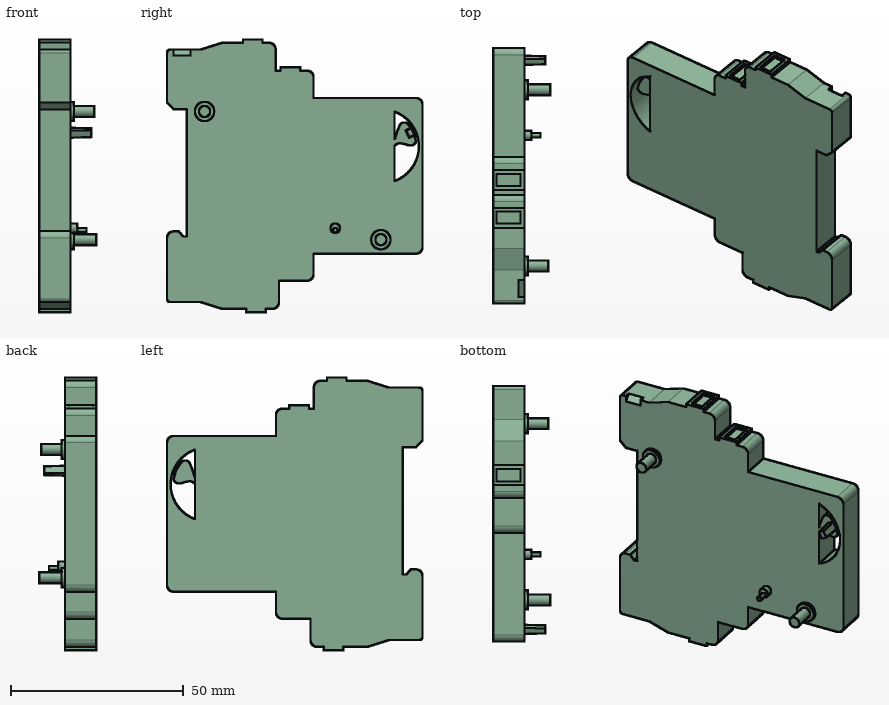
import cadquery as cq
import math

thickness = 9.1
depth = 74.0
height = 79.0

block_height = 0.95
deck_low, deck_high = block_height, height - block_height
end_inset = 2.9
end_low, end_high = end_inset, height - end_inset
shoulder_low, shoulder_high = 9.1, 70.0
nose_inset = 16.9
nose_low, nose_high = nose_inset, height - nose_inset
slope_start, slope_end = 15.95, 9.7
shoulder_y = 42.5
deck_y_low, deck_y_high = 32.5, 31.5
step_fillet = 2.0
end_fillet = 0.95

rail_depth = 5.7
rail_low, rail_high = 22.0, 58.8
rail_lip_height = 1.5
rail_lip_y = 4.75
rail_lip_chamfer_y = 3.4
rail_lip_radius = 2.0
rail_chamfer = 2.0

block_length = 5.8
block_y_shoulder, block_y_high, block_y_low = 32.9, 22.0, 22.9
block_overlap = 0.8
pocket_x, pocket_width = 0.95, 6.95
pocket_margin_y, pocket_length = 1.2, 3.55
pocket_depth = 0.8

opening_radius = 10.7
opening_y, opening_z = 62.25, 48.0
opening_chord_y = 66.0
lever_radius = 9.95
lever_recess = 2.4
lever_overlap = 0.8
lever_tip_angle, lever_crest_angle = 7.0, 39.0
lever_root_low, lever_root_high = 48.2, 50.2
lever_belly = [(67.9, 48.9), (70.3, 48.3)]
lever_crown, lever_crown_end = (68.9, 55.0), (67.4, 54.2)
lever_back = (66.7, 52.45)

tab_y, tab_z = 70.5, 52.0
tab_width, tab_height, tab_length = 1.9, 2.4, 6.0
tab_tilt = 25.0
tab_draft = 1.2

pin_flange_diameter, pin_flange_length = 5.6, 0.95
pin_diameter = 3.2
long_pin_y, long_pin_z, long_pin_length = 61.9, 21.0, 7.4
short_pin_y, short_pin_z, short_pin_length = 10.9, 58.15, 6.9

trip_flange_diameter, trip_flange_length = 2.8, 2.0
trip_pin_diameter, trip_pin_length = 1.35, 4.7
trip_y, trip_z = 48.75, 24.3
trip_pin_drop = 0.55

notch_size = 1.7
notch_y, notch_length = 2.0, 4.8


def round_corner(body, y, z, radius):
    """Fillet the edge along X that passes through (y, z)."""
    corner = cq.selectors.NearestToPointSelector((thickness / 2, y, z))
    return body.edges("|X").edges(corner).fillet(radius)


def make_body():
    lip_top = rail_low + rail_lip_height
    lip_mid = rail_lip_radius * (1 - math.sqrt(0.5))
    outline = (
        cq.Workplane("YZ")
        .moveTo(0, end_low)
        .lineTo(slope_end, end_low)
        .lineTo(slope_start, deck_low)
        .lineTo(deck_y_low, deck_low)
        .lineTo(deck_y_low, shoulder_low)
        .lineTo(shoulder_y, shoulder_low)
        .lineTo(shoulder_y, nose_low)
        .lineTo(depth, nose_low)
        .lineTo(depth, nose_high)
        .lineTo(shoulder_y, nose_high)
        .lineTo(shoulder_y, shoulder_high)
        .lineTo(deck_y_high, shoulder_high)
        .lineTo(deck_y_high, deck_high)
        .lineTo(slope_start, deck_high)
        .lineTo(slope_end, end_high)
        .lineTo(0, end_high)
        .lineTo(0, rail_high + rail_chamfer)
        .lineTo(rail_chamfer, rail_high)
        .lineTo(rail_depth, rail_high)
        .lineTo(rail_depth, rail_low)
        .lineTo(rail_lip_y, rail_low)
        .lineTo(rail_lip_chamfer_y, lip_top)
        .lineTo(rail_lip_radius, lip_top)
        .threePointArc((lip_mid, lip_top - lip_mid), (0, lip_top - rail_lip_radius))
        .close()
    )
    body = outline.extrude(thickness)

    step_corners = [
        (deck_y_low, deck_low),
        (deck_y_high, deck_high),
        (shoulder_y, shoulder_low),
        (shoulder_y, shoulder_high),
        (depth, nose_low),
        (depth, nose_high),
    ]
    end_corners = [(0, end_low), (0, end_high)]
    for y, z in step_corners:
        body = round_corner(body, y, z, step_fillet)
    for y, z in end_corners:
        body = round_corner(body, y, z, end_fillet)
    return body


def box_at(x, y, z, size_x, size_y, size_z):
    return cq.Workplane("XY").box(size_x, size_y, size_z, centered=False).translate((x, y, z))


def add_terminal_block(body, y, surface_z, outward):
    """Raise a pocketed block from a step; outward is +1 on the upper side, -1 on the lower."""
    top = surface_z + outward * block_height
    block_z = min(top, surface_z - outward * block_overlap)
    pocket_z = min(top, top - outward * pocket_depth)
    block = box_at(0, y, block_z, thickness, block_length, block_height + block_overlap)
    pocket = box_at(pocket_x, y + pocket_margin_y, pocket_z, pocket_width, pocket_length, pocket_depth)
    return body.union(block).cut(pocket)


def cut_finger_opening(body):
    half_chord = math.sqrt(opening_radius**2 - (opening_chord_y - opening_y) ** 2)
    opening = (
        cq.Workplane("YZ")
        .moveTo(opening_chord_y, opening_z - half_chord)
        .threePointArc(
            (opening_y + opening_radius, opening_z),
            (opening_chord_y, opening_z + half_chord),
        )
        .close()
        .extrude(thickness)
    )
    return body.cut(opening)


def on_lever_arc(angle):
    """Point on the lever's outer arc, concentric with the finger opening."""
    turn = math.radians(angle)
    return (opening_y + lever_radius * math.cos(turn), opening_z + lever_radius * math.sin(turn))


def make_lever():
    tip = on_lever_arc(lever_tip_angle)
    crest = on_lever_arc(lever_crest_angle)
    arc_middle = on_lever_arc((lever_tip_angle + lever_crest_angle) / 2)
    root_y = opening_chord_y - lever_overlap
    return (
        cq.Workplane("YZ", origin=(lever_recess, 0, 0))
        .moveTo(root_y, lever_root_low)
        .lineTo(opening_chord_y, lever_root_low)
        .spline([*lever_belly, tip], includeCurrent=True)
        .threePointArc(arc_middle, crest)
        .threePointArc(lever_crown, lever_crown_end)
        .threePointArc(lever_back, (opening_chord_y, lever_root_high))
        .lineTo(root_y, lever_root_high)
        .close()
        .extrude(thickness - lever_recess)
    )


def make_tab():
    return (
        cq.Workplane("YZ", origin=(thickness, tab_y, tab_z))
        .transformed(rotate=(0, 0, tab_tilt))
        .rect(tab_width, tab_height)
        .extrude(tab_length, taper=tab_draft)
    )


def make_rod(y, z, diameter, length):
    """Round rod standing on the mating face."""
    return cq.Workplane("YZ", origin=(thickness, y, z)).circle(diameter / 2).extrude(length)


def make_coupling_pin(y, z, length):
    flange = make_rod(y, z, pin_flange_diameter, pin_flange_length)
    return flange.union(make_rod(y, z, pin_diameter, length))


def make_trip_pin():
    flange = make_rod(trip_y, trip_z, trip_flange_diameter, trip_flange_length)
    return flange.union(make_rod(trip_y, trip_z - trip_pin_drop, trip_pin_diameter, trip_pin_length))


def cut_edge_notch(body):
    notch = (
        cq.Workplane("XZ", origin=(0, notch_y + notch_length, 0))
        .moveTo(thickness - notch_size, end_high)
        .lineTo(thickness, end_high)
        .lineTo(thickness, end_high - notch_size)
        .close()
        .extrude(notch_length)
    )
    return body.cut(notch)


result = make_body()
result = add_terminal_block(result, block_y_shoulder, shoulder_high, 1)
result = add_terminal_block(result, block_y_high, deck_high, 1)
result = add_terminal_block(result, block_y_low, deck_low, -1)
result = cut_finger_opening(result)
result = cut_edge_notch(result)
result = result.union(make_lever()).union(make_tab())
result = result.union(make_coupling_pin(long_pin_y, long_pin_z, long_pin_length))
result = result.union(make_coupling_pin(short_pin_y, short_pin_z, short_pin_length))
result = result.union(make_trip_pin())